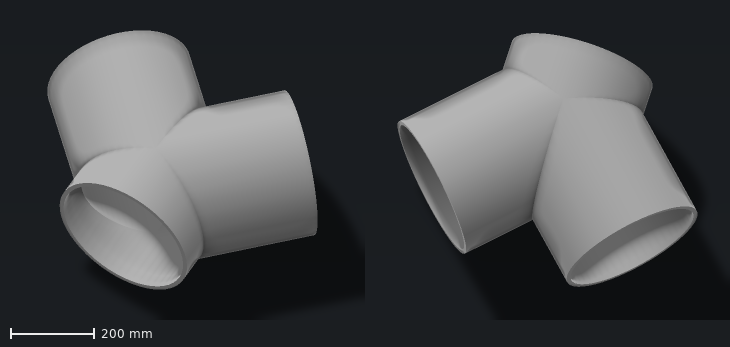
import cadquery as cq
import math

overall_width = 754.0
overall_depth = 529.5
outer_diameter = 355.0
bore_diameter = 333.5
branch_angle = 45.0

outer_radius = outer_diameter / 2
sine = math.sin(math.radians(branch_angle))
cosine = math.cos(math.radians(branch_angle))
branch_length = (overall_width / 2 - outer_radius * cosine) / sine
branch_reach = branch_length * cosine + outer_radius * sine
inlet_length = overall_depth - branch_reach


def leg(diameter, length, direction):
    """Solid cylinder from the junction point outwards along a direction."""
    return cq.Workplane(cq.Solid.makeCylinder(diameter / 2, length, cq.Vector(0, 0, 0), direction))


def wye(diameter):
    """Solid union of the inlet and both branches at one diameter."""
    body = leg(diameter, inlet_length, cq.Vector(0, -1, 0))
    for side in (-1, 1):
        body = body.union(leg(diameter, branch_length, cq.Vector(side * sine, cosine, 0)))
    return body


result = wye(outer_diameter).cut(wye(bore_diameter))